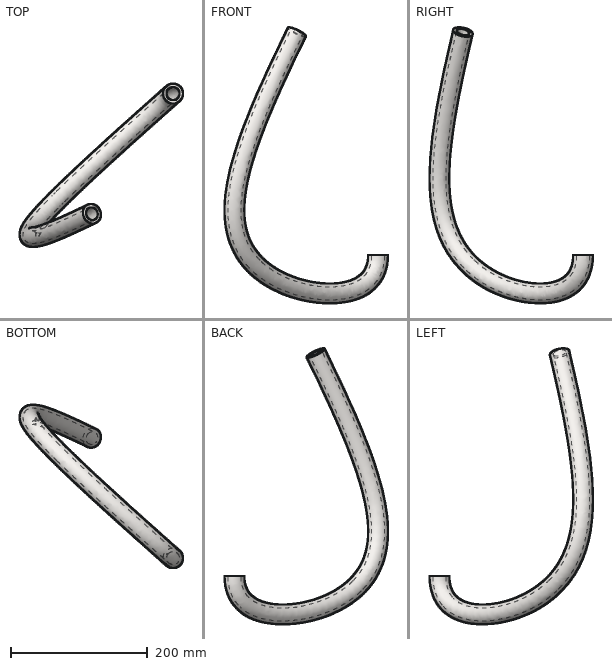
import cadquery as cq

outer_diameter = 29.46
bore_diameter = 19.05

hook_mouth = (0.0, 0.0, 0.0)
hook_control = (0.0, 0.0, -121.1)
bottom_control = (-244.0, -215.6, -28.2)
riser_control = (-284.4, -256.4, -10.4)
riser_mouth = (-118.8, -175.9, 326.45)

hook_direction = (0, 0, -1)


def make_centreline():
    """Curve through the middle of the hose from mouth to mouth."""
    poles = [hook_mouth, hook_control, bottom_control, riser_control, riser_mouth]
    curve = cq.Edge.makeBezier([cq.Vector(*pole) for pole in poles])
    return cq.Workplane(cq.Wire.assembleEdges([curve]))


def make_hose(centreline):
    """Sweep the ring section along the centreline, leaving the bore open right through."""
    mouth_plane = cq.Plane(origin=hook_mouth, xDir=(1, 0, 0), normal=hook_direction)
    section = cq.Workplane(mouth_plane).circle(outer_diameter / 2).circle(bore_diameter / 2)
    return section.sweep(centreline).solids()


result = make_hose(make_centreline())